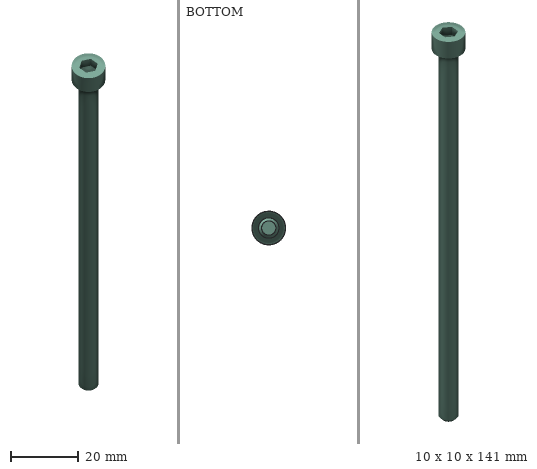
import cadquery as cq
import math

total_length = 141.0
head_diameter = 10.0
head_height = 6.0
shank_diameter = 6.0

socket_across_flats = 5.0
socket_depth = 3.0

tip_diameter = 4.2
tip_height = 1.1

shank_length = total_length - head_height


def make_body():
    """Revolve the head, shank and conical tip in one profile about Z."""
    profile = (
        cq.Workplane("XZ")
        .moveTo(0, head_height)
        .lineTo(head_diameter / 2, head_height)
        .lineTo(head_diameter / 2, 0)
        .lineTo(shank_diameter / 2, 0)
        .lineTo(shank_diameter / 2, tip_height - shank_length)
        .lineTo(tip_diameter / 2, -shank_length)
        .lineTo(0, -shank_length)
        .close()
    )
    return profile.revolve(360, (0, 0), (0, 1))


def make_socket():
    """Hexagonal prism sunk from the top of the head."""
    across_corners = socket_across_flats / math.cos(math.pi / 6)
    return (
        cq.Workplane("XY")
        .workplane(offset=head_height)
        .polygon(6, across_corners)
        .extrude(-socket_depth)
    )


result = make_body().cut(make_socket())